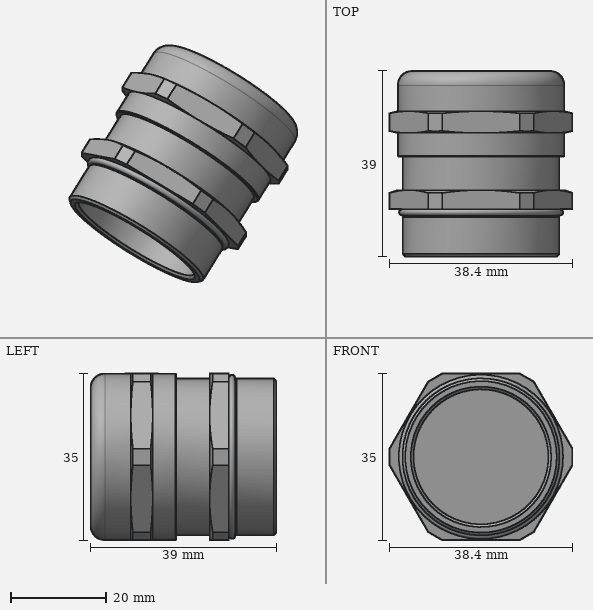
import cadquery as cq
import math


across_flats = 35.0
across_corners = 38.4
thread_diameter = 32.95
rim_chamfer = 0.6

groove_start = 8.65
flange_start = 10.0
flange_end = 14.0
cap_start = 21.0
nut_start = 25.97
nut_end = 30.55
total_length = 39.0

bore_diameter = 28.3
bore_depth = 6.0

ring_outer_diameter = 34.48
groove_chamfer = 0.35

cap_edge_chamfer = 0.2
cap_fillet = 3.0
flange_corner_drop = 0.62
nut_corner_drop = 0.43

thread_radius = thread_diameter / 2
cap_radius = across_flats / 2
bore_radius = bore_diameter / 2
ring_outer_radius = ring_outer_diameter / 2
ring_middle = (groove_start + flange_start) / 2
ring_section_radius = (flange_start - groove_start) / 2
ring_centre_radius = ring_outer_radius - ring_section_radius

sharp_corner_radius = across_flats / 2 / math.cos(math.pi / 6)
corner_flat_half_width = (sharp_corner_radius - across_corners / 2) * math.tan(math.pi / 3)
tip_radius = math.hypot(across_corners / 2, corner_flat_half_width)


def revolve_about_axis(points):
    """Turn a closed (radius, station) outline about the Y axis."""
    return cq.Workplane("XY").polyline(points).close().revolve(360, (0, 0, 0), (0, 1, 0))


def hexagon_prism(width, start, end):
    """Hexagon with flats facing +Z and -Z, between two stations."""
    return (
        cq.Workplane("XZ", origin=(0, start, 0))
        .polygon(6, width / math.cos(math.pi / 6))
        .extrude(start - end)
    )


def wrench_hexagon(start, end, front_drop, back_drop):
    """Hexagon with flattened corners; its ends fall away towards the corners by the given drops."""
    corner_trim = hexagon_prism(across_corners, start, end).rotate((0, 0, 0), (0, 1, 0), 30)
    outline = [(0, start)]
    if front_drop > 0:
        outline.append((cap_radius, start))
    outline += [
        (tip_radius, start + front_drop),
        (tip_radius, end - back_drop),
        (cap_radius, end),
        (0, end),
    ]
    chamfer_cones = revolve_about_axis(outline)
    return hexagon_prism(across_flats, start, end).intersect(corner_trim).intersect(chamfer_cones)


def threaded_body():
    """Threaded barrel with a chamfered rim and the round sealing ring in its groove."""
    groove_edge_radius = thread_radius - groove_chamfer
    return (
        cq.Workplane("XY")
        .moveTo(0, 0)
        .lineTo(thread_radius - rim_chamfer, 0)
        .lineTo(thread_radius, rim_chamfer)
        .lineTo(thread_radius, groove_start - groove_chamfer)
        .lineTo(groove_edge_radius, groove_start)
        .lineTo(ring_centre_radius, groove_start)
        .threePointArc((ring_outer_radius, ring_middle), (ring_centre_radius, flange_start))
        .lineTo(thread_radius, flange_start)
        .lineTo(thread_radius, cap_start)
        .lineTo(0, cap_start)
        .close()
        .revolve(360, (0, 0, 0), (0, 1, 0))
    )


def domed_cap():
    return (
        cq.Workplane("XZ", origin=(0, cap_start, 0))
        .circle(cap_radius)
        .extrude(cap_start - total_length)
        .faces(">Y").edges().fillet(cap_fillet)
        .faces("<Y").edges().chamfer(cap_edge_chamfer)
    )


def bore():
    """Flat-bottomed bore with a chamfered mouth."""
    return revolve_about_axis([
        (0, 0),
        (bore_radius + rim_chamfer, 0),
        (bore_radius, rim_chamfer),
        (bore_radius, bore_depth),
        (0, bore_depth),
    ])


result = (
    threaded_body()
    .union(wrench_hexagon(flange_start, flange_end, 0, flange_corner_drop))
    .union(domed_cap())
    .union(wrench_hexagon(nut_start, nut_end, nut_corner_drop, nut_corner_drop))
    .cut(bore())
)